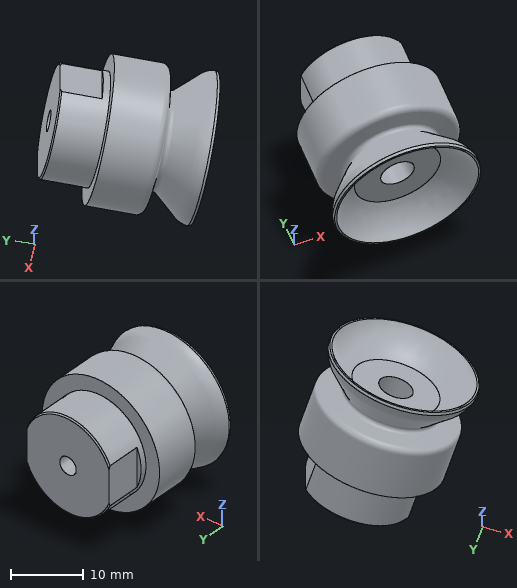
import cadquery as cq
import math

total_length = 22.0
lip_crest_y = 0.45
cone_front_y = 2.18
cone_rear_y = 5.37
neck_y = 5.96
neck_rear_y = 6.42
shoulder_front_y = 6.8
shoulder_rear_y = 7.8
body_rear_y = 15.0
flat_start_y = 16.04

lip_crest_radius = 11.0
lip_face_radius = 10.87
cone_front_radius = 10.2
cone_rear_radius = 7.44
neck_radius = 7.22
neck_rear_radius = 7.61
shoulder_front_radius = 9.95
body_radius = 21.5 / 2
boss_radius = 16.5 / 2
boss_chamfer = 0.22
flat_distance = 7.5

shoulder_depth = shoulder_rear_y - shoulder_front_y
shoulder_drop = body_radius - shoulder_front_radius
shoulder_round = (shoulder_depth**2 + shoulder_drop**2) / (2 * shoulder_drop)
shoulder_half_angle = math.asin(shoulder_depth / shoulder_round) / 2
shoulder_mid_radius = body_radius - shoulder_round * (1 - math.cos(shoulder_half_angle))
shoulder_mid_y = shoulder_rear_y - shoulder_round * math.sin(shoulder_half_angle)

cup_edge_mid_y = 1.23
cup_edge_mid_radius = 10.78

cup_mouth_radius = 10.55
cup_mid_radius = 8.8
cup_mid_depth = 2.3
cup_floor_radius = 6.4
cup_depth = 3.94

wide_bore_diameter = 5.0
wide_bore_end_y = body_rear_y
narrow_bore_diameter = 3.0
narrow_bore_chamfer = 0.18


def make_body():
    """Turn the cup, neck, body and rear boss as one solid."""
    profile = (
        cq.Workplane("XY")
        .moveTo(0, cup_depth)
        .lineTo(cup_floor_radius, cup_depth)
        .threePointArc((cup_mid_radius, cup_mid_depth), (cup_mouth_radius, 0))
        .lineTo(lip_face_radius, 0)
        .lineTo(lip_crest_radius, lip_crest_y)
        .threePointArc((cup_edge_mid_radius, cup_edge_mid_y), (cone_front_radius, cone_front_y))
        .lineTo(cone_rear_radius, cone_rear_y)
        .threePointArc((neck_radius, neck_y), (neck_rear_radius, neck_rear_y))
        .lineTo(shoulder_front_radius, shoulder_front_y)
        .threePointArc((shoulder_mid_radius, shoulder_mid_y), (body_radius, shoulder_rear_y))
        .lineTo(body_radius, body_rear_y)
        .lineTo(boss_radius, body_rear_y)
        .lineTo(boss_radius, total_length - boss_chamfer)
        .lineTo(boss_radius - boss_chamfer, total_length)
        .lineTo(0, total_length)
        .close()
    )
    return profile.revolve(360, (0, 0, 0), (0, 1, 0))


def make_bore():
    """Stepped bore with a chamfer where the narrow part begins."""
    wide_radius = wide_bore_diameter / 2
    narrow_radius = narrow_bore_diameter / 2
    profile = (
        cq.Workplane("XY")
        .lineTo(wide_radius, 0)
        .lineTo(wide_radius, wide_bore_end_y)
        .lineTo(narrow_radius + narrow_bore_chamfer, wide_bore_end_y)
        .lineTo(narrow_radius, wide_bore_end_y + narrow_bore_chamfer)
        .lineTo(narrow_radius, total_length)
        .lineTo(0, total_length)
        .close()
    )
    return profile.revolve(360, (0, 0, 0), (0, 1, 0))


def make_flat_cutter(side):
    """Block that cuts one flat on the rear boss; side is -1 or 1."""
    flat_length = total_length - flat_start_y
    block = cq.Workplane("XY").box(boss_radius, flat_length, 2 * boss_radius)
    return block.translate(
        (side * (flat_distance + boss_radius / 2), flat_start_y + flat_length / 2, 0)
    )


result = make_body().cut(make_bore())
for side in (-1, 1):
    result = result.cut(make_flat_cutter(side))